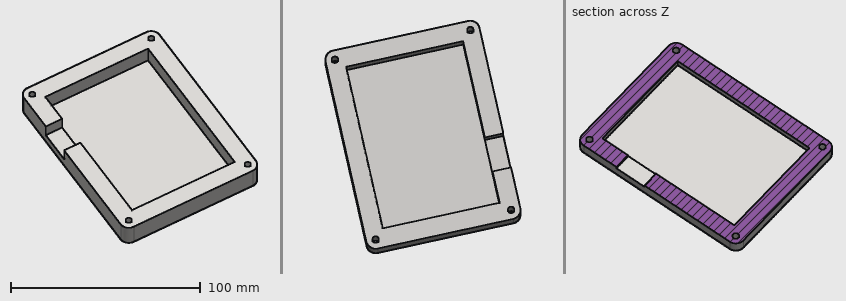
import cadquery as cq

length = 108.9
width = 83.2
height = 13.0
corner_radius = 5.0

wall = 10.0
pocket_depth = 10.0

hole_diameter = 3.4

notch_start = 27.2
notch_width = 18.7
notch_depth = 7.4


def make_body():
    """Solid block with rounded vertical corners, resting on Z = 0."""
    block = cq.Workplane("XY").box(length, width, height, centered=(True, True, False))
    return block.edges("|Z").fillet(corner_radius)


def cut_pocket(body):
    return (
        body.faces(">Z").workplane(origin=(0, 0, height))
        .rect(length - 2 * wall, width - 2 * wall)
        .cutBlind(-pocket_depth)
    )


def cut_screw_holes(body):
    return (
        body.faces(">Z").workplane(origin=(0, 0, height))
        .rect(length - 2 * corner_radius, width - 2 * corner_radius, forConstruction=True)
        .vertices()
        .hole(hole_diameter)
    )


def cut_notch(body):
    notch = (
        cq.Workplane("XY")
        .box(notch_width, wall, notch_depth, centered=False)
        .translate((notch_start - length / 2, -width / 2, height - notch_depth))
    )
    return body.cut(notch)


result = cut_notch(cut_screw_holes(cut_pocket(make_body())))